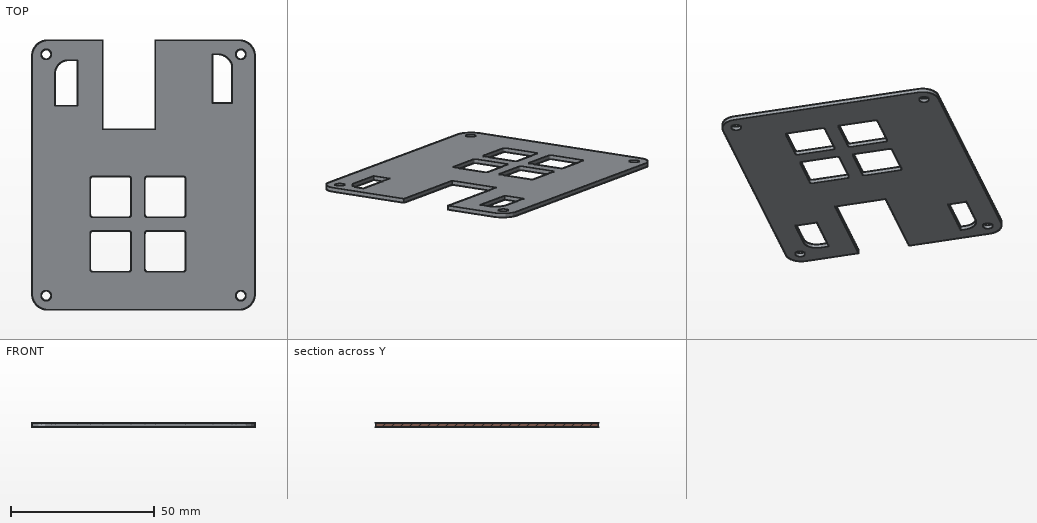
import cadquery as cq

width = 78.0
length = 94.3
thickness = 1.5
corner_radius = 5.7

hole_diameter = 3.4
hole_inset = 5.0

notch_left = 24.8
notch_width = 18.3
notch_depth = 31.1

key_size = 14.15
key_pitch = 19.1
key_corner_radius = 0.8
first_key_x = 27.5
first_key_y = 20.5

left_window_x = 8.1
left_window_width = 7.8
left_window_length = 15.85
left_window_back_gap = 7.1
left_window_radius = 4.7
right_window_x = 63.2
right_window_width = 6.7
right_window_length = 17.0
right_window_back_gap = 5.0

right_arc_run = 4.7
right_arc_drop = 3.7
right_arc_middle_inset = 1.4


def box_from_corner(x, y, size_x, size_y):
    """Plate-thick block with its front left corner at (x, y)."""
    return cq.Workplane("XY").box(size_x, size_y, thickness, centered=False).translate((x, y, 0))


def left_window():
    """Cutter for the left window, with a round back left corner."""
    front = length - left_window_back_gap - left_window_length
    block = box_from_corner(left_window_x, front, left_window_width, left_window_length)
    return block.edges("(|Z and <X) and >Y").fillet(left_window_radius)


def right_window():
    """Cutter for the right window, with a shallow arc across the back right corner."""
    back = length - right_window_back_gap
    front = back - right_window_length
    right = right_window_x + right_window_width
    return (
        cq.Workplane("XY")
        .moveTo(right_window_x, front)
        .lineTo(right, front)
        .lineTo(right, back - right_arc_drop)
        .threePointArc(
            (right - right_arc_middle_inset, back - right_arc_middle_inset),
            (right - right_arc_run, back),
        )
        .lineTo(right_window_x, back)
        .close()
        .extrude(thickness)
    )


plate = box_from_corner(0, 0, width, length).edges("|Z").fillet(corner_radius)

for x in (hole_inset, width - hole_inset):
    for y in (hole_inset, length - hole_inset):
        plate = plate.cut(cq.Workplane("XY").center(x, y).circle(hole_diameter / 2).extrude(thickness))

plate = plate.cut(box_from_corner(notch_left, length - notch_depth, notch_width, notch_depth))

for column in range(2):
    for row in range(2):
        key_x = first_key_x + column * key_pitch - key_size / 2
        key_y = first_key_y + row * key_pitch - key_size / 2
        key_opening = box_from_corner(key_x, key_y, key_size, key_size)
        plate = plate.cut(key_opening.edges("|Z").fillet(key_corner_radius))

plate = plate.cut(left_window())
plate = plate.cut(right_window())

result = plate.translate((-width / 2, -length / 2, -thickness / 2))